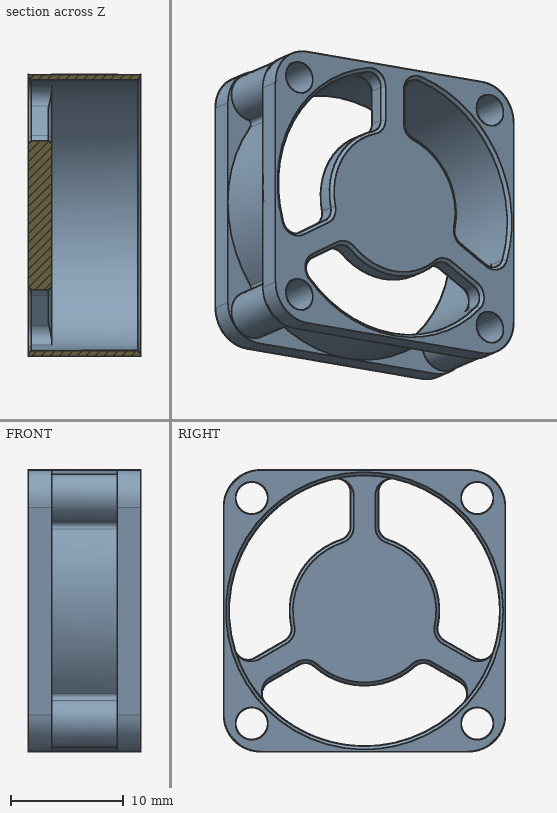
import cadquery as cq
import math

width = 25.0
depth = 10.0
corner_radius = 3.3
flange_thickness = 2.1

hole_diameter = 2.83
hole_spacing = 20.0
post_diameter = 1.5 * hole_diameter
post_fillet = 0.4

bore_diameter = 24.0
ring_diameter = width

grille_thickness = flange_thickness
hub_radius = 6.65
spoke_width = 2.5
spoke_count = 3
slot_corner_radius = 1.2
edge_chamfer = 0.3

front_x = -depth / 2
back_x = depth / 2
grille_back_x = front_x + grille_thickness
bore_radius = bore_diameter / 2


def plane_at(x):
    """Work plane normal to the airflow, with local axes along Y and Z."""
    return cq.Workplane("YZ", origin=(x, 0, 0))


def screw_pattern(diameter):
    """Four full-depth cylinders on the screw centres."""
    return (
        plane_at(front_x)
        .rect(hole_spacing, hole_spacing, forConstruction=True)
        .vertices()
        .circle(diameter / 2)
        .extrude(depth)
    )


def make_flange(x):
    flange = plane_at(x).rect(width, width).extrude(flange_thickness)
    return flange.edges("|X").fillet(corner_radius)


def make_core():
    """Ring with four screw posts, blended together."""
    ring = plane_at(front_x).circle(ring_diameter / 2).extrude(depth)
    core = ring.union(screw_pattern(post_diameter))
    return core.edges("|X").fillet(post_fillet)


def slot_outline(x, growth, outer_radius):
    """Face of one opening between two spokes, grown over the hub and the spokes.

    The outline is bounded by the hub, two spokes and an outer circle, with rounded corners.
    """
    half_spoke = spoke_width / 2 - growth
    inner_radius = hub_radius - growth
    half_pitch = math.pi / spoke_count

    def side_point(radius, side):
        angle = half_pitch - math.asin(half_spoke / radius)
        return side * radius * math.sin(angle), -radius * math.cos(angle)

    prism = (
        plane_at(x)
        .moveTo(*side_point(inner_radius, -1))
        .lineTo(*side_point(outer_radius, -1))
        .threePointArc((0, -outer_radius), side_point(outer_radius, 1))
        .lineTo(*side_point(inner_radius, 1))
        .threePointArc((0, -inner_radius), side_point(inner_radius, -1))
        .close()
        .extrude(grille_thickness)
        .edges("|X")
        .fillet(slot_corner_radius + growth)
    )
    return prism.faces("<X").wires().val()


def extrude_outline(x, outline, length, taper=0):
    return plane_at(x).add(outline).toPending().extrude(length, taper=taper)


def cut_all_around(body, cutter):
    """Cut the body once for each opening between the spokes."""
    for index in range(spoke_count):
        turn = index * 360 / spoke_count
        body = body.cut(cutter.rotate((0, 0, 0), (1, 0, 0), turn))
    return body


def cut_openings(body):
    """Openings through the grille, chamfered at the front and at the back.

    At the back only the hub and spokes are chamfered, as the bore carries straight on.
    """
    slot = extrude_outline(front_x, slot_outline(front_x, 0, bore_radius), grille_thickness)
    body = cut_all_around(body, slot)

    front_outline = slot_outline(front_x, edge_chamfer, bore_radius + edge_chamfer)
    front_flare = extrude_outline(front_x, front_outline, edge_chamfer, taper=45)
    body = cut_all_around(body, front_flare)

    back_outline = slot_outline(grille_back_x, edge_chamfer, bore_radius)
    back_flare = extrude_outline(grille_back_x, back_outline, -edge_chamfer, taper=45)
    return cut_all_around(body, back_flare)


def make_bore():
    """Bore behind the grille, flared at the open back of the housing."""
    bore = plane_at(grille_back_x).circle(bore_radius).extrude(depth - grille_thickness)
    flare_radius = bore_radius + edge_chamfer
    flare = plane_at(back_x).circle(flare_radius).extrude(-edge_chamfer, taper=45)
    return bore.union(flare)


front_flange = make_flange(front_x)
back_flange = make_flange(back_x - flange_thickness)
housing = make_core().union(front_flange).union(back_flange)
housing = cut_openings(housing.cut(make_bore()))
result = housing.cut(screw_pattern(hole_diameter))